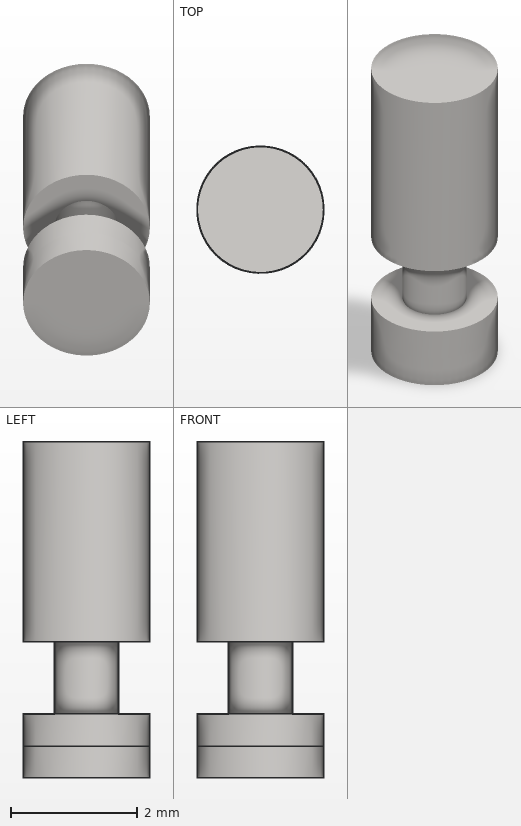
import cadquery as cq

total_height = 5.33
outer_diameter = 2.01
neck_diameter = 1.02
base_height = 0.5
flange_height = 0.51
neck_height = 1.14

flange_bottom = base_height
neck_bottom = flange_bottom + flange_height
head_bottom = neck_bottom + neck_height
head_height = total_height - head_bottom


def cylinder(diameter, bottom, height):
    """Upright cylinder centred on the Z axis."""
    return cq.Workplane("XY").workplane(offset=bottom).circle(diameter / 2).extrude(height)


def make_base():
    """Plain disc that the pin stands on."""
    return cylinder(outer_diameter, 0, base_height)


def make_pin():
    """Flange, narrow neck and long head in one solid."""
    flange = cylinder(outer_diameter, flange_bottom, flange_height)
    neck = cylinder(neck_diameter, neck_bottom, neck_height)
    head = cylinder(outer_diameter, head_bottom, head_height)
    return flange.union(neck).union(head)


base = make_base()
pin = make_pin()

result = cq.Compound.makeCompound([base.val(), pin.val()])